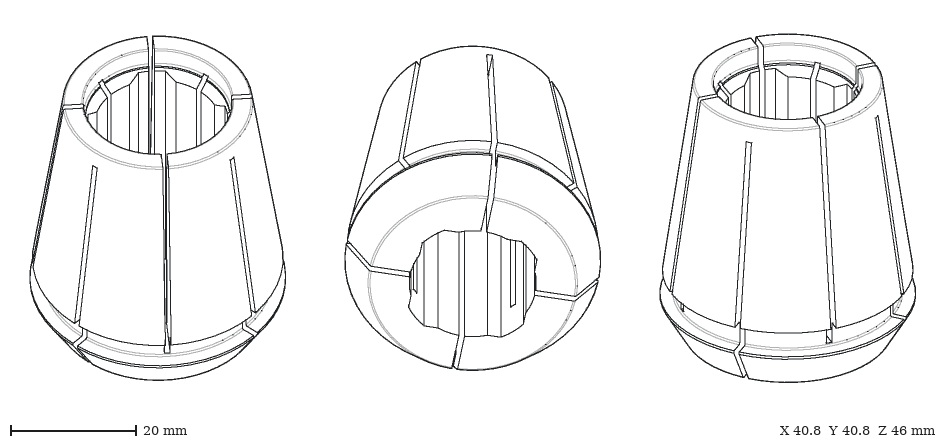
import cadquery as cq
import math

height = 46.0
flange_diameter = 40.8
flange_radius = flange_diameter / 2
nose_angle = 30.0
nose_edge_round = 0.35
flange_land = 0.45
groove_bottom = 7.05
groove_top = 11.2
groove_radius = 18.1
groove_fillet = 0.28
taper_radius = 20.0
taper_angle = 8.0
top_edge_round = 0.28

square_half = 9.3
corner_radius = 11.2
relief_radius = 10.1

mouth_radius = 11.85
mouth_edge_round = 0.25
mouth_floor = 42.65
neck_radius = 11.55
lead_in_top = 42.3

slits_per_set = 4
slit_width = 0.9
lower_slit_top = 43.05
upper_slit_floor = 7.55


def revolve_about_z(outline):
    """Turn a half outline drawn as (radius, height) about Z."""
    return outline.close().revolve(360, (0, 0), (0, 1))


def make_body():
    nose_top = groove_bottom - flange_land
    nose_radius = flange_radius - nose_top * math.tan(math.radians(nose_angle))
    taper_top = height - top_edge_round
    taper_run = (taper_top - groove_top) * math.tan(math.radians(taper_angle))
    top_radius = taper_radius - taper_run
    outline = (
        cq.Workplane("XZ")
        .lineTo(nose_radius, 0)
        .lineTo(flange_radius, nose_top)
        .lineTo(flange_radius, groove_bottom)
        .lineTo(groove_radius + groove_fillet, groove_bottom)
        .radiusArc((groove_radius, groove_bottom + groove_fillet), groove_fillet)
        .lineTo(groove_radius, groove_top - groove_fillet)
        .radiusArc((groove_radius + groove_fillet, groove_top), groove_fillet)
        .lineTo(taper_radius, groove_top)
        .lineTo(top_radius, taper_top)
        .radiusArc((top_radius - top_edge_round, height), -top_edge_round)
        .lineTo(0, height)
    )
    return revolve_about_z(outline).faces("<Z").edges().fillet(nose_edge_round)


def make_bore():
    square = cq.Workplane("XY").rect(2 * square_half, 2 * square_half).extrude(height)
    corners = cq.Workplane("XY").circle(corner_radius).extrude(height)
    relief = cq.Workplane("XY").circle(relief_radius).extrude(height)
    return square.intersect(corners).union(relief)


def make_mouth():
    floor_fillet = mouth_radius - neck_radius
    outline = (
        cq.Workplane("XZ")
        .moveTo(0, lead_in_top - neck_radius)
        .lineTo(neck_radius, lead_in_top)
        .lineTo(neck_radius, mouth_floor)
        .radiusArc((mouth_radius, mouth_floor + floor_fillet), -floor_fillet)
        .lineTo(mouth_radius, height - mouth_edge_round)
        .radiusArc((mouth_radius + mouth_edge_round, height), mouth_edge_round)
        .lineTo(0, height)
    )
    return revolve_about_z(outline)


def make_slits(first_angle, bottom, top):
    """Radial saw cuts equally spaced about the axis."""
    slit_length = flange_radius + slit_width
    return (
        cq.Workplane("XY")
        .workplane(offset=bottom)
        .polarArray(slit_length / 2, first_angle, 360, slits_per_set)
        .rect(slit_length, slit_width)
        .extrude(top - bottom)
    )


result = (
    make_body()
    .cut(make_bore())
    .cut(make_mouth())
    .cut(make_slits(0, 0, lower_slit_top))
    .cut(make_slits(45, upper_slit_floor, height))
)